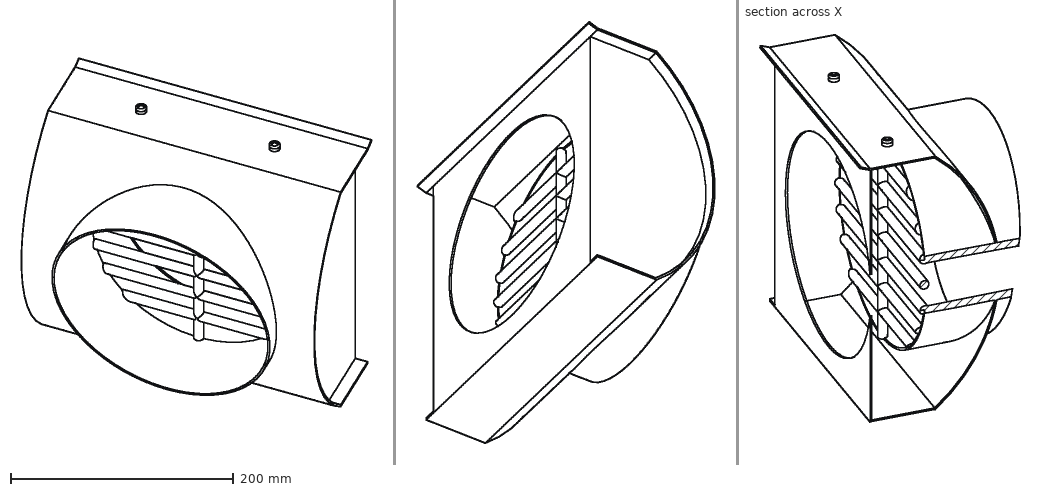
import cadquery as cq
import math

length = 285.0
sheet = 2.0
half_height = 130.0
flat_depth = 63.3
full_depth = 125.7

lip_depth = 9.5
lip_rise = 3.5

panel_inset = 12.0
end_panel_thickness = 4.0

collar_outer = 212.0
collar_inner = 208.0
collar_back = 52.7
collar_front_top = 156.0
collar_front_bottom = 126.3

bar_diameter = 9.0
bar_pitch = 26.0
bars_each_side = 3

stud_spacing = 130.0
stud_depth = 31.4
stud_height = 5.0
stud_diameter = 10.0
stud_waist_diameter = 9.0
stud_bore = 6.3


def y_cylinder(diameter, depth_start, depth_end):
    """Cylinder centred on the collar axis between two depths in front of the back plane."""
    return (
        cq.Workplane("XZ", origin=(0, -depth_start, 0))
        .circle(diameter / 2)
        .extrude(depth_end - depth_start)
    )


def housing_solid(offset, width):
    """D-shaped block whose flats and bulge lie the given offset inside the outer skin."""
    bulge = full_depth - flat_depth
    radius = (half_height**2 + bulge**2) / (2 * bulge)
    centre_depth = full_depth - radius
    top = half_height - offset
    corner_depth = centre_depth + math.sqrt((radius - offset) ** 2 - top**2)
    return (
        cq.Workplane("YZ", origin=(-width / 2, 0, 0))
        .moveTo(0, -top)
        .lineTo(-corner_depth, -top)
        .threePointArc((-(full_depth - offset), 0), (-corner_depth, top))
        .lineTo(0, top)
        .close()
        .extrude(width)
    )


def housing():
    """Bent sheet closed by inset end panels and a back panel."""
    panel_width = length - 2 * panel_inset
    skin = housing_solid(0, length).cut(housing_solid(sheet, length))
    box = housing_solid(sheet, panel_width)
    cavity = housing_solid(sheet, panel_width - 2 * end_panel_thickness).translate((0, -sheet, 0))
    return skin.union(box.cut(cavity))


def rear_lip():
    """Sloping strip along the top back edge."""
    slope = math.hypot(lip_depth, lip_rise)
    shift_y = sheet * lip_rise / slope
    shift_z = sheet * lip_depth / slope
    outline = [
        (0, half_height),
        (lip_depth - shift_y, half_height + lip_rise),
        (lip_depth, half_height + lip_rise - shift_z),
        (0, half_height - sheet),
    ]
    return cq.Workplane("YZ", origin=(-length / 2, 0, 0)).polyline(outline).close().extrude(length)


def collar_blank():
    """Cylinder with a slanted front end, still solid inside."""
    radius = collar_outer / 2
    side = [
        (-collar_back, -radius),
        (-collar_front_bottom, -radius),
        (-collar_front_top, radius),
        (-collar_back, radius),
    ]
    slanted_block = cq.Workplane("YZ").polyline(side).close().extrude(radius, both=True)
    return y_cylinder(collar_outer, collar_back, collar_front_top).intersect(slanted_block)


def grille():
    """Horizontal bars and one upright, all ending in the collar wall."""
    span = collar_outer
    bars = (
        cq.Workplane("XY", origin=(0, -collar_back, 0))
        .circle(bar_diameter / 2)
        .extrude(span / 2, both=True)
    )
    for step in range(-bars_each_side, bars_each_side + 1):
        bar = (
            cq.Workplane("YZ", origin=(0, -collar_back, step * bar_pitch))
            .circle(bar_diameter / 2)
            .extrude(span / 2, both=True)
        )
        bars = bars.union(bar)
    mid_wall = (collar_outer + collar_inner) / 2
    return bars.intersect(y_cylinder(mid_wall, 0, full_depth))


def stud():
    """Turned stud on Z = 0: concave waist, quarter-round top and a shallow flat-bottomed bore."""
    outer = stud_diameter / 2
    bore = stud_bore / 2
    rounding = outer - bore
    lip_height = stud_height - rounding
    diagonal = rounding * math.sqrt(0.5)
    return (
        cq.Workplane("XZ")
        .lineTo(outer, 0)
        .threePointArc((stud_waist_diameter / 2, lip_height / 2), (outer, lip_height))
        .threePointArc((bore + diagonal, lip_height + diagonal), (bore, stud_height))
        .lineTo(bore, lip_height)
        .lineTo(0, lip_height)
        .close()
        .revolve(360, (0, 0, 0), (0, 1, 0))
    )


def add_studs(body):
    """Place the two studs on the top sheet."""
    for x in (-stud_spacing / 2, stud_spacing / 2):
        body = body.union(stud().translate((x, -stud_depth, half_height)))
    return body


shell = housing().union(rear_lip()).union(collar_blank())
shell = shell.cut(y_cylinder(collar_inner, 0, collar_front_top))
result = add_studs(shell.union(grille()))